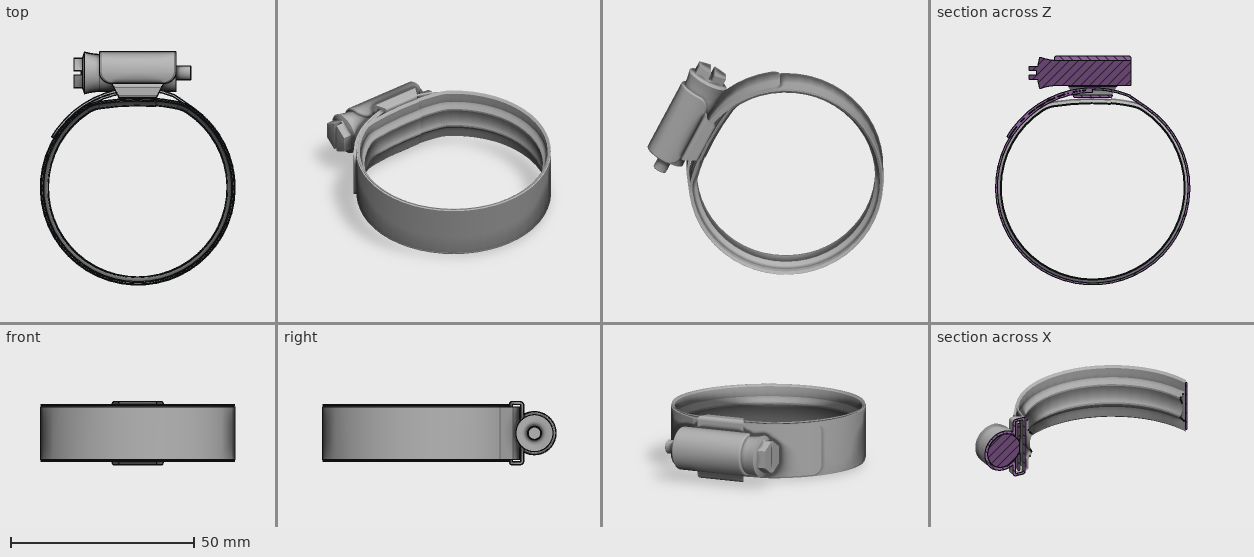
import cadquery as cq
import math


band_outer_radius = 26.6
band_thickness = 0.65
band_inner_radius = band_outer_radius - band_thickness
band_half_width = 7.2
layer_gap = 0.05
tail_inner_radius = band_outer_radius + layer_gap
tail_outer_radius = tail_inner_radius + band_thickness
band_start_angle = 90
tail_bend_angle = 68.5
tail_end_angle = 149.5
tail_corner_radius = 2.7

liner_thickness = 0.3
liner_half_width = 7.8
ridge_height = 1.3
ridge_radius = band_inner_radius - liner_thickness - ridge_height
flange_setback = 0.2
flange_radius = band_outer_radius - flange_setback
flange_bend_z = 7.25
flange_tip_width = 0.1
ridge_foot_z = 4.5
ridge_crest_outer_z = 3.0
ridge_crest_inner_z = 2.5
groove_depth = 0.7
corner_radius = 7.2
corner_half_angle = 33
tongue_peak = 22.3
lap_peak = 22.54
lap_x = 4.9

screw_y = 31.3
barrel_radius = 5.05
barrel_half_length = 10.5
collar_radius = 5.7
collar_x = -14.5
collar_cone_height = 0.55
collar_flare_sag = 0.12
hex_across_flats = 8.15
hex_end_x = -17.4
slot_width = 1.1
slot_depth = 1.95
pin_radius = 1.9
pin_end_x = 14.6
pin_chamfer = 0.2

sheet = 0.85
saddle_radius = barrel_radius + sheet
saddle_edge_round = 0.5
rim_tolerance = 1e-4
saddle_corner_radius = 3.45
strap_top_y = 28.4
strap_bottom_y = 24.5
strap_half_width = 8.65
strap_top_half_length = 7.05
strap_bottom_half_length = 5.1
strap_top_round = 1.1
strap_bottom_round = 0.7


def polar(radius, angle):
    return radius * math.cos(math.radians(angle)), radius * math.sin(math.radians(angle))


def band_arc(inner_radius, outer_radius, sweep):
    """Strip of the band bent round the ring axis, starting on the +X axis."""
    middle_radius = (inner_radius + outer_radius) / 2
    return (
        cq.Workplane("XZ")
        .center(middle_radius, 0)
        .rect(outer_radius - inner_radius, 2 * band_half_width)
        .revolve(sweep, (-middle_radius, 0), (-middle_radius, 1))
    )


def make_band():
    outer_rise = math.degrees(math.acos(band_outer_radius / tail_outer_radius))
    inner_rise = math.degrees(math.acos(band_inner_radius / tail_inner_radius))
    leave_angle = tail_bend_angle - outer_rise

    ring = band_arc(band_inner_radius, band_outer_radius, 360 + leave_angle - band_start_angle)
    ring = ring.rotate((0, 0, 0), (0, 0, 1), band_start_angle)

    bridge = (
        cq.Workplane("XY")
        .polyline([
            polar(band_inner_radius, leave_angle),
            polar(band_outer_radius, leave_angle),
            polar(tail_outer_radius, tail_bend_angle),
            polar(tail_inner_radius, leave_angle + inner_rise),
        ])
        .close()
        .extrude(band_half_width, both=True)
    )

    tail = band_arc(tail_inner_radius, tail_outer_radius, tail_end_angle - tail_bend_angle)
    tail = tail.mirror("XZ").edges("|X").fillet(tail_corner_radius)
    tail = tail.rotate((0, 0, 0), (0, 0, 1), tail_end_angle)

    barrel_recess = (
        cq.Workplane("YZ", origin=(-barrel_half_length, screw_y, 0))
        .circle(barrel_radius)
        .extrude(2 * barrel_half_length)
    )
    return ring.union(bridge).union(tail).cut(barrel_recess)


def liner_arc(crest_radius, center, start_angle, sweep):
    """Liner section bent about a Z axis through center; crest_radius is where the ridges reach."""
    flat_inner = crest_radius + ridge_height
    flat_outer = flat_inner + liner_thickness
    flange_tip = crest_radius + flange_radius - ridge_radius
    crest_outer = crest_radius + liner_thickness
    flange_under_z = liner_half_width - liner_thickness

    slope = math.atan2(ridge_height, ridge_foot_z - ridge_crest_outer_z)
    slope_shift = liner_thickness * math.tan(slope / 2)
    groove_radius = (ridge_crest_inner_z**2 + groove_depth**2) / (2 * groove_depth)
    groove_center = groove_depth - groove_radius
    back_groove_z = math.sqrt((groove_radius + liner_thickness)**2 - (liner_thickness - groove_center)**2)

    section = (
        cq.Workplane("XZ")
        .moveTo(flange_tip, liner_half_width)
        .lineTo(flange_tip - flange_tip_width, liner_half_width)
        .lineTo(flat_inner, flange_bend_z)
        .lineTo(flat_inner, ridge_foot_z)
        .lineTo(crest_radius, ridge_crest_outer_z)
        .lineTo(crest_radius, ridge_crest_inner_z)
        .threePointArc((crest_radius + groove_depth, 0), (crest_radius, -ridge_crest_inner_z))
        .lineTo(crest_radius, -ridge_crest_outer_z)
        .lineTo(flat_inner, -ridge_foot_z)
        .lineTo(flat_inner, -flange_bend_z)
        .lineTo(flange_tip - flange_tip_width, -liner_half_width)
        .lineTo(flange_tip, -liner_half_width)
        .lineTo(flange_tip, -flange_under_z)
        .lineTo(flat_outer, -band_half_width)
        .lineTo(flat_outer, -ridge_foot_z + slope_shift)
        .lineTo(crest_outer, -ridge_crest_outer_z + slope_shift)
        .lineTo(crest_outer, -back_groove_z)
        .threePointArc((crest_outer + groove_depth, 0), (crest_outer, back_groove_z))
        .lineTo(crest_outer, ridge_crest_outer_z - slope_shift)
        .lineTo(flat_outer, ridge_foot_z - slope_shift)
        .lineTo(flat_outer, band_half_width)
        .lineTo(flange_tip, flange_under_z)
        .close()
    )
    return (
        section.revolve(sweep, (0, 0), (0, 1))
        .rotate((0, 0, 0), (0, 0, 1), start_angle)
        .translate((center[0], center[1], 0))
    )


def liner_side(side, peak):
    """Corner and flattened arc under the housing on one side (-1 left, +1 right), up to lap_x."""
    corner_x, corner_y = polar(ridge_radius - corner_radius, 90 - corner_half_angle)
    drop = corner_y - peak
    flat_radius = (corner_radius**2 - corner_x**2 - drop**2) / (2 * (drop + corner_radius))
    flat_center_y = peak - flat_radius
    tangent_angle = math.degrees(math.atan2(corner_x, corner_y - flat_center_y))
    lap_angle = side * math.degrees(math.asin(lap_x / flat_radius))
    corner_sweep = corner_half_angle - tangent_angle
    flat_sweep = tangent_angle - lap_angle
    if side < 0:
        corner_start = 90 + tangent_angle
        flat_start = 90 + lap_angle
    else:
        corner_start = 90 - corner_half_angle
        flat_start = 90 - tangent_angle
    corner = liner_arc(corner_radius, (side * corner_x, corner_y), corner_start, corner_sweep)
    flat = liner_arc(flat_radius, (0, flat_center_y), flat_start, flat_sweep)
    return corner.union(flat)


def make_liner():
    ring = liner_arc(ridge_radius, (0, 0), 90 + corner_half_angle, 360 - 2 * corner_half_angle)
    return ring.union(liner_side(-1, tongue_peak)).union(liner_side(1, lap_peak))


def make_screw():
    neck_x = -barrel_half_length
    face_x = collar_x - collar_cone_height
    flare_middle = ((neck_x + collar_x) / 2, (barrel_radius + collar_radius) / 2 - collar_flare_sag)
    turned = (
        cq.Workplane("XY")
        .moveTo(face_x, 0)
        .lineTo(face_x, hex_across_flats / 2)
        .lineTo(collar_x, collar_radius)
        .threePointArc(flare_middle, (neck_x, barrel_radius))
        .lineTo(barrel_half_length, barrel_radius)
        .lineTo(barrel_half_length, pin_radius)
        .lineTo(pin_end_x - pin_chamfer, pin_radius)
        .lineTo(pin_end_x, pin_radius - pin_chamfer)
        .lineTo(pin_end_x, 0)
        .close()
        .revolve(360, (0, 0), (1, 0))
    )
    hex_head = (
        cq.Workplane("YZ", origin=(hex_end_x, 0, 0))
        .transformed(rotate=(0, 0, 90))
        .polygon(6, hex_across_flats / math.cos(math.pi / 6))
        .extrude(face_x - hex_end_x)
    )
    slot = cq.Workplane("XY").box(2 * slot_depth, slot_width, 2 * collar_radius)
    slot = slot.translate((hex_end_x, 0, 0))
    return turned.union(hex_head).cut(slot).translate((0, screw_y, 0))


def on_saddle_rim(edge):
    start = edge.startPoint()
    off_axis = math.hypot(start.y - screw_y, start.z)
    return edge.geomType() != "LINE" and math.isclose(off_axis, saddle_radius, abs_tol=rim_tolerance)


def make_saddle():
    """Sheet curled over the screw barrel, standing on the strap, with rounded lower corners."""
    axis_start = cq.Workplane("YZ", origin=(-barrel_half_length, screw_y, 0))
    curl = axis_start.circle(saddle_radius).circle(barrel_radius).extrude(2 * barrel_half_length)
    side_outline = (
        cq.Workplane("XY")
        .moveTo(-barrel_half_length, screw_y + saddle_radius)
        .lineTo(barrel_half_length, screw_y + saddle_radius)
        .lineTo(barrel_half_length, screw_y)
        .radiusArc((strap_top_half_length, strap_top_y), saddle_corner_radius)
        .lineTo(-strap_top_half_length, strap_top_y)
        .radiusArc((-barrel_half_length, screw_y), saddle_corner_radius)
        .close()
        .extrude(saddle_radius, both=True)
    )
    saddle = curl.intersect(side_outline)
    rims = [edge for edge in saddle.edges().vals() if on_saddle_rim(edge)]
    return saddle.newObject(rims).fillet(saddle_edge_round)


def make_strap():
    """Closed loop round the band, narrowing towards the ring and open above for the barrel."""
    height = strap_top_y - strap_bottom_y
    middle_y = (strap_top_y + strap_bottom_y) / 2
    loop = (
        cq.Workplane("XY")
        .box(2 * strap_top_half_length, height, 2 * strap_half_width)
        .edges("|X and >Y").fillet(strap_top_round)
        .edges("|X and <Y").fillet(strap_bottom_round)
    )
    band_passage = cq.Workplane("XY").box(
        2 * strap_top_half_length, height - 2 * sheet, 2 * (strap_half_width - sheet)
    )
    loop = loop.cut(band_passage).translate((0, middle_y, 0))
    barrel_opening = (
        cq.Workplane("YZ", origin=(-barrel_half_length, screw_y, 0))
        .circle(barrel_radius)
        .extrude(2 * barrel_half_length)
    )
    taper = (
        cq.Workplane("XY")
        .polyline([
            (-strap_top_half_length, strap_top_y),
            (strap_top_half_length, strap_top_y),
            (strap_bottom_half_length, strap_bottom_y),
            (-strap_bottom_half_length, strap_bottom_y),
        ])
        .close()
        .extrude(strap_half_width, both=True)
    )
    return loop.cut(barrel_opening).intersect(taper)


def make_housing():
    return make_saddle().union(make_strap())


band = make_band()
liner = make_liner()
screw = make_screw()
housing = make_housing()
result = cq.Compound.makeCompound([band.val(), liner.val(), screw.val(), housing.val()])